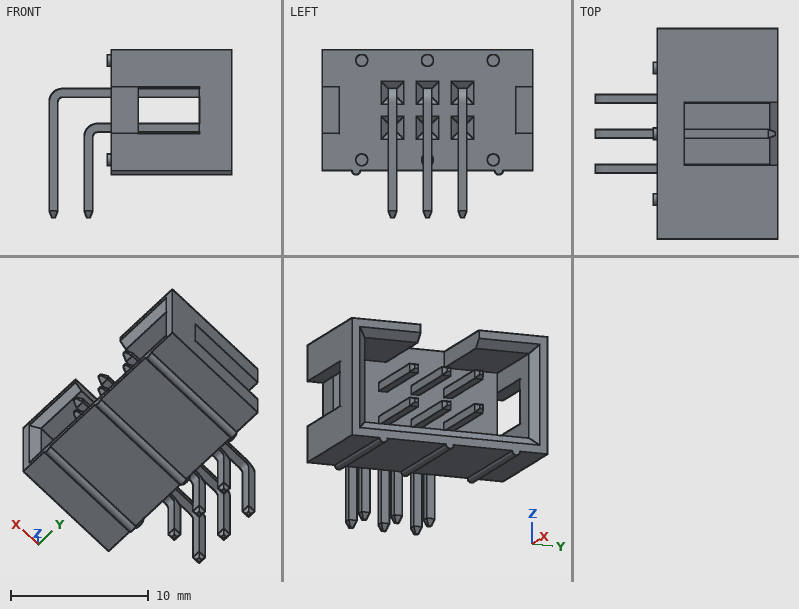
import cadquery as cq
import math


body_depth = 8.77
body_width = 15.28
body_height = 8.77
wall = 1.22
base_thickness = 1.99
lip_chamfer = 0.61
key_slot_width = 4.55
window_height = 3.36
window_end = 6.4

standoff_diameter = 0.85
standoff_height = 0.28
standoff_pitch = 4.77
standoff_edge_distance = 0.78
rib_radius = 0.3
rib_offset = 5.18

pitch = 2.54
pin_columns = 3
pin_rows_center = -0.02
pin_size = 0.64
tip_size = 0.25
tip_length = 0.5
bend_outer_radius = 1.0
bend_inner_radius = bend_outer_radius - pin_size
pin_recess = 0.18
far_leg_distance = 4.17
overall_height = 12.2
funnel_mouth = 1.65
funnel_depth = (funnel_mouth - pin_size) / 2

half_height = body_height / 2
leg_bottom = half_height - overall_height
pin_front = body_depth - pin_recess
column_positions = [(i - (pin_columns - 1) / 2) * pitch for i in range(pin_columns)]
pin_rows = [
    (pin_rows_center + pitch / 2, far_leg_distance),
    (pin_rows_center - pitch / 2, far_leg_distance - pitch),
]


def box(x_min, x_max, y_size, z_size, y=0, z=0):
    """Block between two X positions, centred on (y, z)."""
    length = x_max - x_min
    return cq.Workplane("XY").box(length, y_size, z_size).translate((x_min + length / 2, y, z))


def square_taper(start, direction, start_size, end_size, length):
    """Square frustum that runs from the start point along a direction."""
    plane = cq.Plane(origin=start, xDir=(0, 1, 0), normal=direction)
    return (
        cq.Workplane(plane)
        .rect(start_size, start_size)
        .workplane(offset=length)
        .rect(end_size, end_size)
        .loft(combine=True)
    )


def make_housing():
    """Open box with a chamfered mouth, a key slot in the top and side windows."""
    cavity_width = body_width - 2 * wall
    cavity_height = body_height - 2 * wall
    housing = box(0, body_depth, body_width, body_height)
    housing = housing.cut(box(base_thickness, body_depth, cavity_width, cavity_height))
    mouth_edges = housing.faces(">X").wires(cq.selectors.AreaNthSelector(0)).edges()
    housing = mouth_edges.chamfer(lip_chamfer)

    key_slot = box(base_thickness, body_depth, key_slot_width, half_height, z=half_height / 2)
    housing = housing.cut(key_slot)

    for side in (-1, 1):
        window_y = side * (body_width - wall) / 2
        housing = housing.cut(box(0, window_end, wall, window_height, y=window_y))
    return housing


def add_standoffs(housing):
    """Two rows of three round studs on the rear face."""
    stud_z = half_height - standoff_edge_distance
    points = [(y, z) for y in (-standoff_pitch, 0, standoff_pitch) for z in (-stud_z, stud_z)]
    studs = cq.Workplane("YZ").pushPoints(points).circle(standoff_diameter / 2).extrude(-standoff_height)
    return housing.union(studs)


def add_ribs(housing):
    """Three round ribs along the full depth of the underside."""
    points = [(y, -half_height) for y in (-rib_offset, 0, rib_offset)]
    ribs = cq.Workplane("YZ").pushPoints(points).circle(rib_radius).extrude(body_depth)
    return housing.union(ribs)


def make_pin(y, run_z, leg_distance):
    """Square pin with a straight run, a rounded right-angle bend and tapered ends."""
    half = pin_size / 2
    run_end = pin_front - tip_length
    leg_end = leg_bottom + tip_length
    top = run_z + half
    bottom = run_z - half
    outer_x = -leg_distance - half
    inner_x = -leg_distance + half
    bend_x = outer_x + bend_outer_radius
    bend_z = top - bend_outer_radius
    diagonal = math.sqrt(0.5)

    shaft = (
        cq.Workplane("XZ", origin=(0, y + half, 0))
        .moveTo(run_end, top)
        .lineTo(bend_x, top)
        .threePointArc(
            (bend_x - bend_outer_radius * diagonal, bend_z + bend_outer_radius * diagonal),
            (outer_x, bend_z),
        )
        .lineTo(outer_x, leg_end)
        .lineTo(inner_x, leg_end)
        .lineTo(inner_x, bend_z)
        .threePointArc(
            (bend_x - bend_inner_radius * diagonal, bend_z + bend_inner_radius * diagonal),
            (bend_x, bottom),
        )
        .lineTo(run_end, bottom)
        .close()
        .extrude(pin_size)
    )
    front_tip = square_taper((run_end, y, run_z), (1, 0, 0), pin_size, tip_size, tip_length)
    leg_tip = square_taper((-leg_distance, y, leg_end), (0, 0, -1), pin_size, tip_size, tip_length)
    return shaft.union(front_tip).union(leg_tip)


result = add_ribs(add_standoffs(make_housing()))
for row_z, row_leg_distance in pin_rows:
    for column_y in column_positions:
        funnel = square_taper((0, column_y, row_z), (1, 0, 0), funnel_mouth, pin_size, funnel_depth)
        pin = make_pin(column_y, row_z, row_leg_distance)
        result = result.cut(funnel).union(pin)